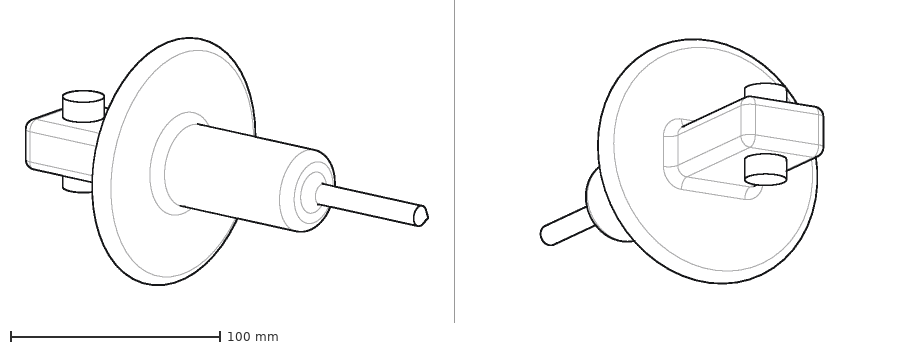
import cadquery as cq

edge_radius = 5.0

tongue_length = 70.0
tongue_width = 45.0
tongue_height = 25.0

pin_diameter = 20.0
pin_length = 45.0
pin_setback = 20.0

disc_diameter = 120.0
disc_thickness = 2 * edge_radius

barrel_diameter = 40.0
barrel_length = 80.0

rod_diameter = 10.0
rod_length = 70.0
tip_length = 5.0

disc_start = tongue_length
disc_end = disc_start + disc_thickness
barrel_end = disc_end + barrel_length
rod_end = barrel_end + rod_length

arc_inset = edge_radius * (1 - 0.5 ** 0.5)


def make_turned_body():
    """Disc, barrel and pointed rod as one revolved profile, with rounds and root fillets."""
    disc_radius = disc_diameter / 2
    barrel_radius = barrel_diameter / 2
    rod_radius = rod_diameter / 2
    r = edge_radius
    profile = (
        cq.Workplane("XY")
        .moveTo(disc_start, 0)
        .lineTo(disc_start, disc_radius - r)
        .threePointArc((disc_start + r, disc_radius), (disc_end, disc_radius - r))
        .lineTo(disc_end, barrel_radius + r)
        .threePointArc(
            (disc_end + arc_inset, barrel_radius + arc_inset),
            (disc_end + r, barrel_radius),
        )
        .lineTo(barrel_end - r, barrel_radius)
        .threePointArc(
            (barrel_end - arc_inset, barrel_radius - arc_inset),
            (barrel_end, barrel_radius - r),
        )
        .lineTo(barrel_end, rod_radius + r)
        .threePointArc(
            (barrel_end + arc_inset, rod_radius + arc_inset),
            (barrel_end + r, rod_radius),
        )
        .lineTo(rod_end - tip_length, rod_radius)
        .lineTo(rod_end, 0)
        .close()
    )
    return profile.revolve(360, (0, 0, 0), (1, 0, 0))


def make_tongue():
    """Flat tongue, rounded on every edge except those that meet the disc."""
    block = cq.Workplane("YZ").rect(tongue_width, tongue_height).extrude(tongue_length)
    return block.edges("|X or <X").fillet(edge_radius)


def add_tongue_root_fillet(body):
    """Blend the tongue into the disc face all the way around its root."""
    margin = 1.0
    half_width = tongue_width / 2 + margin
    half_height = tongue_height / 2 + margin
    root_zone = cq.selectors.BoxSelector(
        (disc_start - margin, -half_width, -half_height),
        (disc_start + margin, half_width, half_height),
        boundingbox=True,
    )
    return body.edges(root_zone).fillet(edge_radius)


def make_pin():
    """Cross pin through the tongue, centred on the part's axis and parallel to Z."""
    return (
        cq.Workplane("XY", origin=(pin_setback, 0, -pin_length / 2))
        .circle(pin_diameter / 2)
        .extrude(pin_length)
    )


body = make_turned_body().union(make_tongue())
body = add_tongue_root_fillet(body)
result = body.union(make_pin())